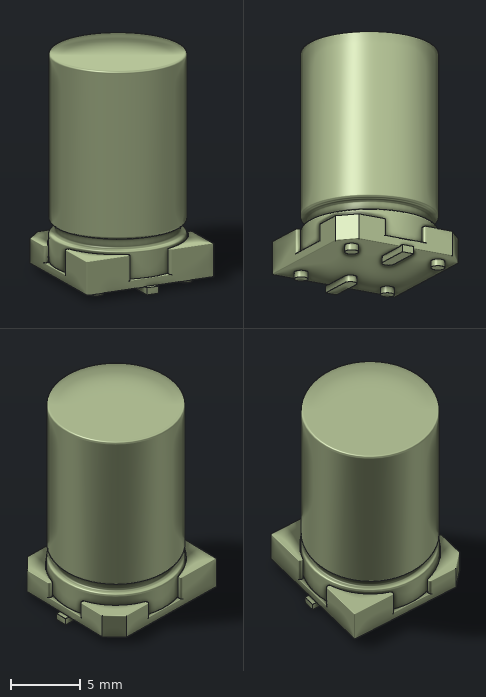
import cadquery as cq

total_height = 16.8
lead_span = 11.0
base_width = 10.3

can_radius = 10.0 / 2
neck_radius = 9.0 / 2
top_rounding = 0.2
groove_bottom = 3.09
groove_height = 1.25
groove_top = groove_bottom + groove_height
groove_rounding = 0.21

base_bottom = 0.5
notch_floor = 1.16
low_wall_top = 2.42
tall_wall_top = 3.04
corner_chamfer = 1.25
notch_width = 3.15
notch_rounding = 0.2
socket_gap = 0.08
edge_rounding = 0.05
half_base = base_width / 2
half_notch = notch_width / 2

foot_diameter = 1.0
foot_spacing = 7.2
lead_width = 0.94
lead_height = 0.55
lead_inner_end = 2.25

sides = (-1, 1)


def nearest(x, y, z):
    """Selector for the face or edge whose centre is closest to a point."""
    return cq.selectors.NearestToPointSelector((x, y, z))


def make_can():
    """Round can with a groove above the base, revolved about Z."""
    r = groove_rounding
    profile = (
        cq.Workplane("XZ")
        .moveTo(0, notch_floor)
        .lineTo(can_radius, notch_floor)
        .lineTo(can_radius, groove_bottom)
        .radiusArc((can_radius - r, groove_bottom + r), -r)
        .lineTo(neck_radius + r, groove_bottom + r)
        .radiusArc((neck_radius, groove_bottom + 2 * r), r)
        .lineTo(neck_radius, groove_top - 2 * r)
        .radiusArc((neck_radius + r, groove_top - r), r)
        .lineTo(can_radius - r, groove_top - r)
        .radiusArc((can_radius, groove_top), -r)
        .lineTo(can_radius, total_height - top_rounding)
        .radiusArc((can_radius - top_rounding, total_height), -top_rounding)
        .lineTo(0, total_height)
        .close()
    )
    return profile.revolve(360, (0, 0, 0), (0, 1, 0))


def make_walled_plate():
    """Base plate with four sharp-edged corner walls, the two at -X chamfered and lower."""
    plate = cq.Workplane("XY").workplane(offset=base_bottom).rect(base_width, base_width)
    base = plate.extrude(tall_wall_top - base_bottom)
    base = base.edges("|Z and <X").chamfer(corner_chamfer)
    base = base.edges("|Z and >X").fillet(edge_rounding)

    low_side = cq.Workplane("XY").workplane(offset=low_wall_top).center(-half_base, 0)
    base = base.cut(low_side.rect(base_width, base_width).extrude(total_height))

    floor = cq.Workplane("XY").workplane(offset=notch_floor)
    base = base.cut(floor.rect(base_width, notch_width).extrude(total_height))
    return base.cut(floor.rect(notch_width, base_width).extrude(total_height))


def round_base_edges(base):
    """Round the notch mouths, the bottom rim, the notch floor rims and the wall tops."""
    for x, y in ((half_base, half_notch), (half_notch, half_base)):
        for side_x in sides:
            for side_y in sides:
                mouth = nearest(side_x * x, side_y * y, low_wall_top)
                base = base.edges("|Z").edges(mouth).fillet(notch_rounding)

    base = base.edges("<Z").fillet(edge_rounding)

    for side in sides:
        for x, y in ((side * half_base, 0), (0, side * half_base)):
            base = base.edges(nearest(x, y, notch_floor)).fillet(edge_rounding)

    wall_middle = (half_base + half_notch) / 2
    for side_x, wall_top in zip(sides, (low_wall_top, tall_wall_top)):
        for side_y in sides:
            top = nearest(side_x * wall_middle, side_y * wall_middle, wall_top)
            base = base.faces("|Z").faces(top).edges().fillet(edge_rounding)
    return base


def make_base():
    """Rounded base with a round socket that leaves a narrow gap around the can."""
    base = round_base_edges(make_walled_plate())
    socket = cq.Workplane("XY").workplane(offset=notch_floor).circle(can_radius + socket_gap)
    return base.cut(socket.extrude(total_height))


def make_feet():
    """Four round feet under the base, one near each corner."""
    corners = cq.Workplane("XY").rect(foot_spacing, foot_spacing, forConstruction=True).vertices()
    return corners.circle(foot_diameter / 2).extrude(base_bottom)


def make_lead(side):
    """Flat lead along X with a semicircular inner end, let slightly into the base."""
    half_width = lead_width / 2
    outer_end = side * lead_span / 2
    shoulder = side * (lead_inner_end + half_width)
    return (
        cq.Workplane("XY")
        .moveTo(outer_end, half_width)
        .lineTo(shoulder, half_width)
        .threePointArc((side * lead_inner_end, 0), (shoulder, -half_width))
        .lineTo(outer_end, -half_width)
        .close()
        .extrude(lead_height)
    )


result = make_base().union(make_can()).union(make_feet())
for side in sides:
    result = result.union(make_lead(side))